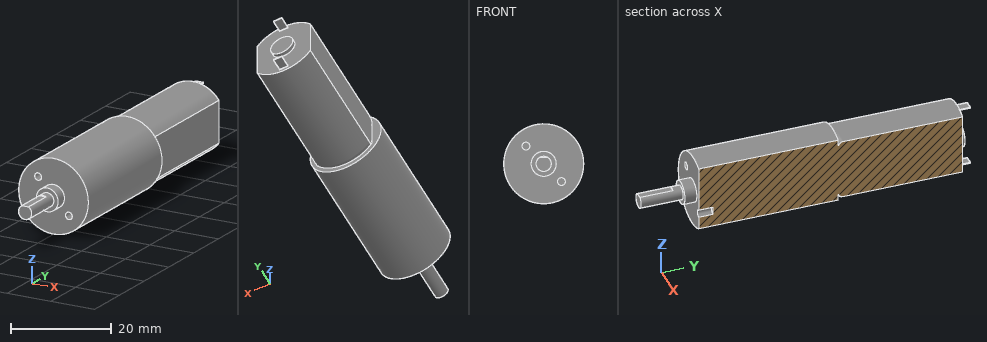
import cadquery as cq
import math


gearbox_diameter = 16.0
gearbox_length = 29.7

mount_hole_diameter = 1.55
mount_hole_depth = 3.0
mount_circle_diameter = 10.0
mount_hole_angles = (135, 315)

boss_diameter = 5.0
front_boss_length = 2.55
rear_boss_length = 0.9

shaft_diameter = 3.0
shaft_length = 8.95
shaft_flat_length = 7.05
shaft_flat_depth = 0.2

motor_diameter = 15.0
motor_width = 12.0
motor_length = 26.55
motor_edge_radius = 1.05

terminal_width = 1.9
terminal_thickness = 0.2
terminal_length = 2.7
terminal_offset = 6.55

motor_rear_y = gearbox_length + motor_length
shaft_tip_y = -(front_boss_length + shaft_length)


def cylinder(diameter, start_y, length):
    """Solid cylinder on the Y axis, running from start_y towards +Y."""
    base = cq.Workplane("XZ", origin=(0, start_y, 0))
    return base.circle(diameter / 2).extrude(-length)


def make_gearbox():
    body = cylinder(gearbox_diameter, 0, gearbox_length)
    for angle in mount_hole_angles:
        x = mount_circle_diameter / 2 * math.cos(math.radians(angle))
        z = mount_circle_diameter / 2 * math.sin(math.radians(angle))
        hole = cylinder(mount_hole_diameter, 0, mount_hole_depth)
        body = body.cut(hole.translate((x, 0, z)))
    return body


def make_shaft():
    shaft = cylinder(shaft_diameter, shaft_tip_y, shaft_length)
    flat_z = shaft_diameter / 2 - shaft_flat_depth
    flat_cut = (
        cq.Workplane("XY", origin=(0, shaft_tip_y, flat_z))
        .box(shaft_diameter, shaft_flat_length, shaft_diameter, centered=(True, False, False))
    )
    return shaft.cut(flat_cut)


def make_motor():
    can = cylinder(motor_diameter, gearbox_length, motor_length)
    can = can.faces("<Y").edges().fillet(motor_edge_radius)
    flats = (
        cq.Workplane("XY", origin=(0, gearbox_length, 0))
        .box(motor_width, motor_length, motor_diameter, centered=(True, False, True))
    )
    return can.intersect(flats)


def make_terminal(center_z):
    return (
        cq.Workplane("XY", origin=(0, motor_rear_y, center_z))
        .box(terminal_width, terminal_length, terminal_thickness, centered=(True, False, True))
    )


front_boss = cylinder(boss_diameter, -front_boss_length, front_boss_length)
rear_boss = cylinder(boss_diameter, motor_rear_y, rear_boss_length)

result = make_gearbox().union(front_boss).union(make_shaft())
result = result.union(make_motor()).union(rear_boss)
for side in (-1, 1):
    result = result.union(make_terminal(side * terminal_offset))